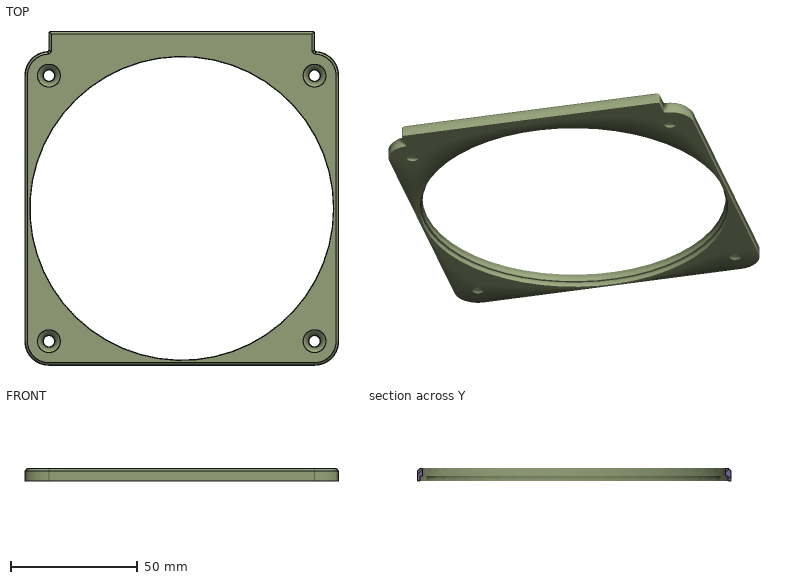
import cadquery as cq

frame_side = 124.0
thickness = 5.0
hole_spacing = 105.0
corner_radius = (frame_side - hole_spacing) / 2
edge_chamfer = 1.0

tab_width = hole_spacing
tab_length = 8.0
tab_end = frame_side / 2 + tab_length
tab_chamfer = 0.5

opening_diameter = 120.0
recess_diameter = 122.0
recess_depth = 2.0

screw_diameter = 4.5
countersink_diameter = 9.0
countersink_angle = 90.0


def make_plate():
    """Rounded square with a tab that meets it in small chamfered corners."""
    square = (
        cq.Workplane("XY")
        .rect(frame_side, frame_side)
        .extrude(thickness)
        .edges("|Z")
        .fillet(corner_radius)
    )
    tab = cq.Workplane("XY").center(0, tab_end / 2).rect(tab_width, tab_end).extrude(thickness)
    plate = square.union(tab).clean()
    tab_roots = cq.selectors.BoxSelector(
        (-tab_width, frame_side / 2 - edge_chamfer, 0),
        (tab_width, frame_side / 2 + edge_chamfer, thickness),
    )
    return plate.edges("|Z").edges(tab_roots).chamfer(tab_chamfer)


def chamfer_outside(plate):
    """Chamfer the whole top rim, then the two upright outer corners of the tab."""
    plate = plate.faces(">Z").edges().chamfer(edge_chamfer)
    return plate.edges("|Z and >Y").chamfer(tab_chamfer)


def cut_opening(plate):
    """Through opening with a wider recess from the underside."""
    opening = cq.Workplane("XY").circle(opening_diameter / 2).extrude(thickness)
    recess = cq.Workplane("XY").circle(recess_diameter / 2).extrude(recess_depth)
    return plate.cut(opening).cut(recess)


def cut_screw_holes(plate):
    """One countersunk hole at the centre of each rounded corner."""
    return (
        plate.faces(">Z")
        .workplane(origin=(0, 0, thickness))
        .rect(hole_spacing, hole_spacing, forConstruction=True)
        .vertices()
        .cskHole(screw_diameter, countersink_diameter, countersink_angle)
    )


result = cut_screw_holes(cut_opening(chamfer_outside(make_plate())))